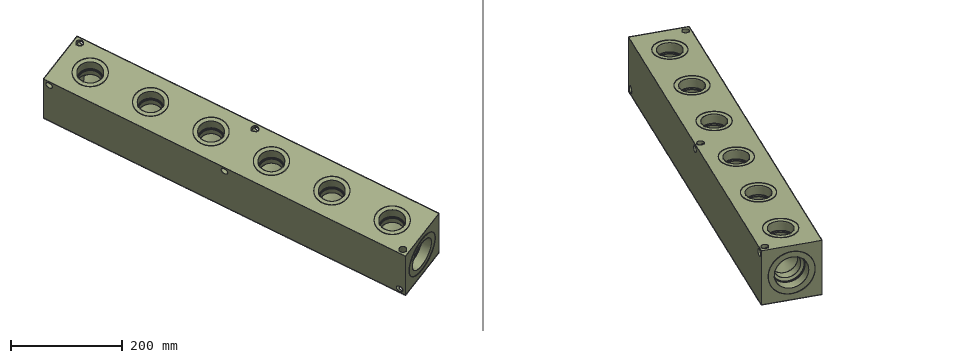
import cadquery as cq
import math

length = 762.0
width = 114.0
half_length = length / 2
half_width = width / 2

port_count = 6
port_end_inset = 63.0
port_spacing = (length - 2 * port_end_inset) / (port_count - 1)
port_spot_diameter = 65.0
port_mouth_diameter = 48.0
port_thread_diameter = 47.0
port_tap_diameter = 46.0
port_drill_diameter = 44.0
port_thread_depth = 20.0
port_tap_depth = 23.0
port_drill_depth = 35.0

end_spot_diameter = 88.5
end_mouth_diameter = 65.0
end_thread_diameter = 63.0
end_tap_diameter = 62.0
end_drill_diameter = 51.0
end_thread_depth = 20.0
end_tap_depth = 23.0
end_drill_depth = 43.5

spot_depth = 1.0
mouth_depth = 3.0
drill_point_angle = 118.0

mount_diameter = 14.0
mount_end_inset = 12.0
mount_side_inset = 11.0


def point_height(radius_drop):
    """Axial length over which a drill point narrows by the given radius."""
    return radius_drop / math.tan(math.radians(drill_point_angle / 2))


def port_cutter(spot_diameter, mouth_diameter, bores):
    """Revolved port, its mouth at the origin and its drill point toward -Z.

    bores lists (diameter, depth) of the coaxial bores from the mouth inward, each one
    narrower than the last and ending in a cone at the drill point angle.
    """
    spot_radius = spot_diameter / 2
    thread_radius = bores[0][0] / 2
    profile = (
        cq.Workplane("XZ")
        .lineTo(spot_radius, 0)
        .lineTo(spot_radius, -spot_depth)
        .lineTo(mouth_diameter / 2, -spot_depth)
        .lineTo(thread_radius, -spot_depth - mouth_depth)
    )
    inner_radii = [diameter / 2 for diameter, depth in bores[1:]] + [0]
    for (diameter, depth), inner_radius in zip(bores, inner_radii):
        radius = diameter / 2
        cone_end = depth + point_height(radius - inner_radius)
        profile = profile.lineTo(radius, -depth).lineTo(inner_radius, -cone_end)
    return profile.close().revolve(360, (0, 0, 0), (0, 1, 0))


result = cq.Workplane("XY").box(length, width, width)

top_port = port_cutter(
    port_spot_diameter,
    port_mouth_diameter,
    [
        (port_thread_diameter, port_thread_depth),
        (port_tap_diameter, port_tap_depth),
        (port_drill_diameter, port_drill_depth),
    ],
)
for index in range(port_count):
    port_x = -half_length + port_end_inset + index * port_spacing
    result = result.cut(top_port.translate((port_x, 0, half_width)))

end_port = port_cutter(
    end_spot_diameter,
    end_mouth_diameter,
    [
        (end_thread_diameter, end_thread_depth),
        (end_tap_diameter, end_tap_depth),
        (end_drill_diameter, end_drill_depth),
    ],
)
for side in (-1, 1):
    facing_end = end_port.rotate((0, 0, 0), (0, 1, 0), side * 90)
    result = result.cut(facing_end.translate((side * half_length, 0, 0)))

mount_x = half_length - mount_end_inset
mount_edge = half_width - mount_side_inset
mount_points = [(-mount_x, mount_edge), (0, mount_edge), (mount_x, -mount_edge)]
for plane in ("XY", "XZ"):
    mount_holes = (
        cq.Workplane(plane)
        .pushPoints(mount_points)
        .circle(mount_diameter / 2)
        .extrude(half_width, both=True)
    )
    result = result.cut(mount_holes)